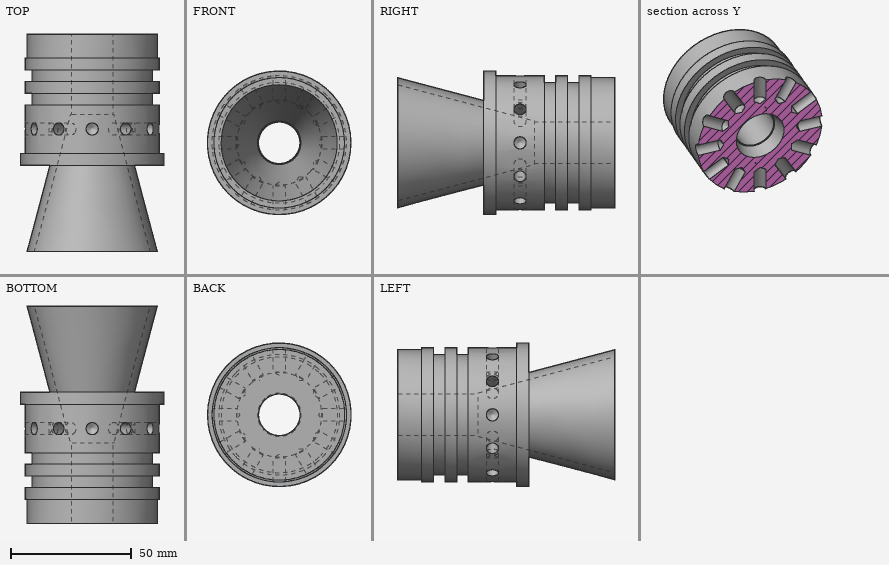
import cadquery as cq
import math

total_length = 89.9
flange_width = 5.0
body_length = 20.0
groove_width = 4.7
rib_width = 4.9
spigot_length = 10.0
housing_length = flange_width + body_length + 2 * (groove_width + rib_width) + spigot_length
nozzle_length = total_length - housing_length

flange_radius = 29.7
body_radius = 27.8
groove_radius = 25.0
spigot_radius = 27.05
nozzle_mouth_radius = 27.0
nozzle_root_radius = 17.5

mouth_bore_radius = 24.0
throat_radius = 9.0
bore_radius = 8.5

hole_count = 12
hole_radius = 2.5
hole_depth = 10.0
drill_point_angle = 118.0


def disc(start, length, radius):
    """Solid cylinder on the Y axis, running toward +Y from start."""
    plane = cq.Plane(origin=(0, start, 0), xDir=(1, 0, 0), normal=(0, 1, 0))
    return cq.Workplane(plane).circle(radius).extrude(length)


def cone(length, mouth_radius, end_radius):
    """Solid cone frustum on the Y axis, starting at the nozzle mouth."""
    return cq.Workplane(
        cq.Solid.makeCone(mouth_radius, end_radius, length, cq.Vector(0, 0, 0), cq.Vector(0, 1, 0))
    )


def make_outside():
    """Flared nozzle followed by the stepped, grooved housing."""
    sections = [
        (flange_width, flange_radius),
        (body_length, body_radius),
        (groove_width, groove_radius),
        (rib_width, body_radius),
        (groove_width, groove_radius),
        (rib_width, body_radius),
        (spigot_length, spigot_radius),
    ]
    solid = cone(nozzle_length, nozzle_mouth_radius, nozzle_root_radius)
    start = nozzle_length
    for length, radius in sections:
        solid = solid.union(disc(start, length, radius))
        start += length
    return solid


def make_passage():
    """Tapered inlet parallel to the nozzle wall, leading to a straight bore."""
    wall_slope = (nozzle_mouth_radius - nozzle_root_radius) / nozzle_length
    taper_length = (mouth_bore_radius - throat_radius) / wall_slope
    taper = cone(taper_length, mouth_bore_radius, throat_radius)
    return taper.union(disc(0, total_length, bore_radius))


def make_drill():
    """Drill-shaped cutter entering the top of the body, halfway along it."""
    tip_length = hole_radius / math.tan(math.radians(drill_point_angle / 2))
    bottom = body_radius - hole_depth
    profile = [
        (0, bottom - tip_length),
        (hole_radius, bottom),
        (hole_radius, flange_radius),
        (0, flange_radius),
    ]
    cutter = cq.Workplane("XZ").polyline(profile).close().revolve(360, (0, 0), (0, 1))
    return cutter.translate((0, nozzle_length + flange_width + body_length / 2, 0))


result = make_outside().cut(make_passage())
drill = make_drill()
for index in range(hole_count):
    result = result.cut(drill.rotate((0, 0, 0), (0, 1, 0), index * 360 / hole_count))
result = result.translate((0, -total_length / 2, 0))